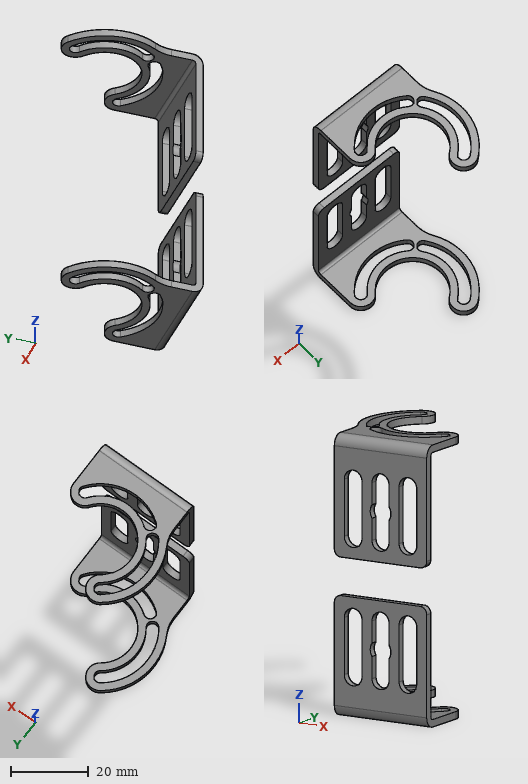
import cadquery as cq
import math

overall_height = 74.15
sheet = 2.0
bend_inner_radius = 1.0
bend_outer_radius = bend_inner_radius + sheet
plate_width = 28.0
leg_height = 32.05
leg_corner_radius = 2.0
top_z = overall_height / 2

hook_radius = 13.35
hook_width = 7.5
hook_slot_width = 3.3
hook_slot_sweep = 90.0
hook_opening_angle = 45.0
hook_half_sweep = 81.4
hook_start = hook_opening_angle + hook_half_sweep
hook_end = hook_opening_angle - hook_half_sweep + 360
blend_radius = 9.5
hook_outer_radius = hook_radius + hook_width / 2

plate_right = hook_radius * math.cos(math.radians(hook_end)) + hook_width / 2
plate_left = plate_right - plate_width
plate_middle = (plate_left + plate_right) / 2
front_y = -22.0

leg_slot_pitch = 8.3
outer_slot_width = 5.35
middle_slot_width = 5.1
leg_slot_length = 20.3
leg_hole_diameter = 6.2
leg_slot_drop = 18.9


def polar(radius, degrees):
    angle = math.radians(degrees)
    return (radius * math.cos(angle), radius * math.sin(angle))


def arc_band(start, end, width):
    """Round-ended band along the hook's centre arc, through the sheet."""
    inner = hook_radius - width / 2
    outer = hook_radius + width / 2
    middle = (start + end) / 2
    band = (
        cq.Workplane("XY", origin=(0, 0, top_z - sheet))
        .moveTo(*polar(inner, start))
        .threePointArc(polar(inner, middle), polar(inner, end))
        .lineTo(*polar(outer, end))
        .threePointArc(polar(outer, middle), polar(outer, start))
        .close()
        .extrude(sheet)
    )
    ends = (
        cq.Workplane("XY", origin=(0, 0, top_z - sheet))
        .pushPoints([polar(hook_radius, start), polar(hook_radius, end)])
        .circle(width / 2)
        .extrude(sheet)
    )
    return band.union(ends)


def bent_sheet():
    """L-shaped strip: vertical leg, rounded bend and a short level flange."""
    back_y = front_y + bend_outer_radius
    inner_y = front_y + sheet
    under_z = top_z - sheet
    bend_z = top_z - bend_outer_radius
    leg_bottom = top_z - leg_height
    diagonal = math.sqrt(0.5)
    outer_mid = (back_y - bend_outer_radius * diagonal, bend_z + bend_outer_radius * diagonal)
    inner_mid = (back_y - bend_inner_radius * diagonal, bend_z + bend_inner_radius * diagonal)
    return (
        cq.Workplane("YZ", origin=(plate_left, 0, 0))
        .moveTo(front_y, leg_bottom)
        .lineTo(front_y, bend_z)
        .threePointArc(outer_mid, (back_y, top_z))
        .lineTo(back_y, under_z)
        .threePointArc(inner_mid, (inner_y, bend_z))
        .lineTo(inner_y, leg_bottom)
        .close()
        .extrude(plate_width)
        .edges("|Y and <Z")
        .fillet(leg_corner_radius)
    )


def flange_web():
    """Level plate joining the bend to the hook, blended into the hook's left side."""
    back_y = front_y + bend_outer_radius
    blend_x = plate_left - blend_radius
    blend_y = -math.sqrt((hook_outer_radius + blend_radius) ** 2 - blend_x**2)
    hook_touch_angle = math.degrees(math.atan2(blend_y, blend_x))
    hook_touch = polar(hook_outer_radius, hook_touch_angle)
    blend_mid_angle = (hook_touch_angle + 180) / 2
    mid_x, mid_y = polar(blend_radius, blend_mid_angle)
    hook_tip = polar(hook_radius, hook_end)
    return (
        cq.Workplane("XY", origin=(0, 0, top_z - sheet))
        .moveTo(plate_right, back_y)
        .lineTo(plate_right, hook_tip[1])
        .lineTo(*hook_tip)
        .threePointArc(polar(hook_radius, 270), polar(hook_radius, hook_touch_angle))
        .lineTo(*hook_touch)
        .threePointArc((blend_x + mid_x, blend_y + mid_y), (plate_left, blend_y))
        .lineTo(plate_left, back_y)
        .close()
        .extrude(sheet)
    )


def leg_cutouts():
    """Three upright slots, the middle one widened by a round hole."""
    face = cq.Workplane("XZ", origin=(plate_middle, front_y, top_z - leg_slot_drop))
    outer_slots = (
        face.pushPoints([(-leg_slot_pitch, 0), (leg_slot_pitch, 0)])
        .slot2D(leg_slot_length, outer_slot_width, 90)
        .extrude(-sheet)
    )
    middle_slot = face.slot2D(leg_slot_length, middle_slot_width, 90).extrude(-sheet)
    hole = face.circle(leg_hole_diameter / 2).extrude(-sheet)
    return outer_slots.union(middle_slot).union(hole)


def upper_bracket():
    body = bent_sheet().union(flange_web()).union(arc_band(hook_start, hook_end, hook_width))
    first_slot = arc_band(hook_start, hook_start + hook_slot_sweep, hook_slot_width)
    second_slot = arc_band(hook_end - hook_slot_sweep, hook_end, hook_slot_width)
    return body.cut(first_slot).cut(second_slot).cut(leg_cutouts())


brackets = []
for mirrored in (False, True):
    bracket = upper_bracket()
    if mirrored:
        bracket = bracket.mirror("XY")
    brackets.append(bracket.val())

result = cq.Compound.makeCompound(brackets)